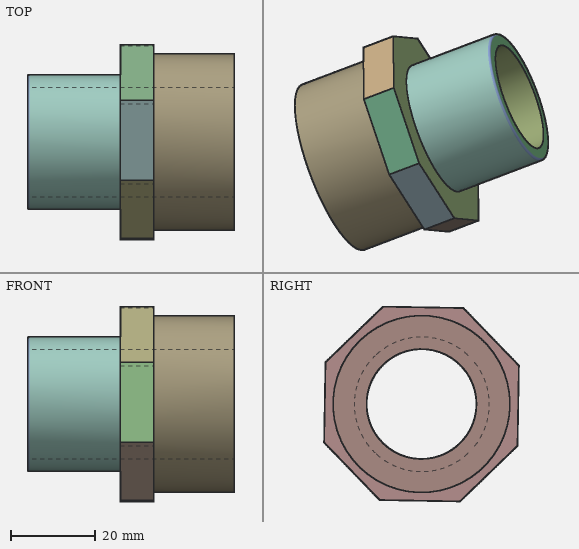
import cadquery as cq
import math

total_length = 49.1
spigot_length = 22.05
flange_thickness = 7.9
collar_length = total_length - spigot_length - flange_thickness

bore_diameter = 26.0
spigot_diameter = 32.0
collar_diameter = 42.0
spigot_end_round = 0.5

flange_sides = 8
flange_across_flats = 45.95
flange_turn = -1.0
flange_across_corners = flange_across_flats / math.cos(math.pi / flange_sides)
half_side_angle = 180.0 / flange_sides


def make_spigot():
    """Pipe end with a rounded outer rim."""
    return (
        cq.Workplane("YZ")
        .circle(spigot_diameter / 2)
        .extrude(spigot_length)
        .faces("<X")
        .edges()
        .fillet(spigot_end_round)
    )


def make_flange():
    """Octagonal wrench flange behind the spigot."""
    return (
        cq.Workplane("YZ", origin=(spigot_length, 0, 0))
        .polygon(flange_sides, flange_across_corners)
        .extrude(flange_thickness)
        .rotate((0, 0, 0), (1, 0, 0), half_side_angle + flange_turn)
    )


def make_nipple():
    """Spigot and wrench flange in one piece, bored through."""
    bore = cq.Workplane("YZ").circle(bore_diameter / 2).extrude(spigot_length + flange_thickness)
    return make_spigot().union(make_flange()).cut(bore)


def make_collar():
    """Round sleeve seated against the back of the flange, continuing the bore."""
    return (
        cq.Workplane("YZ", origin=(spigot_length + flange_thickness, 0, 0))
        .circle(collar_diameter / 2)
        .circle(bore_diameter / 2)
        .extrude(collar_length)
    )


nipple = make_nipple()
collar = make_collar()

result = cq.Compound.makeCompound([nipple.val(), collar.val()])